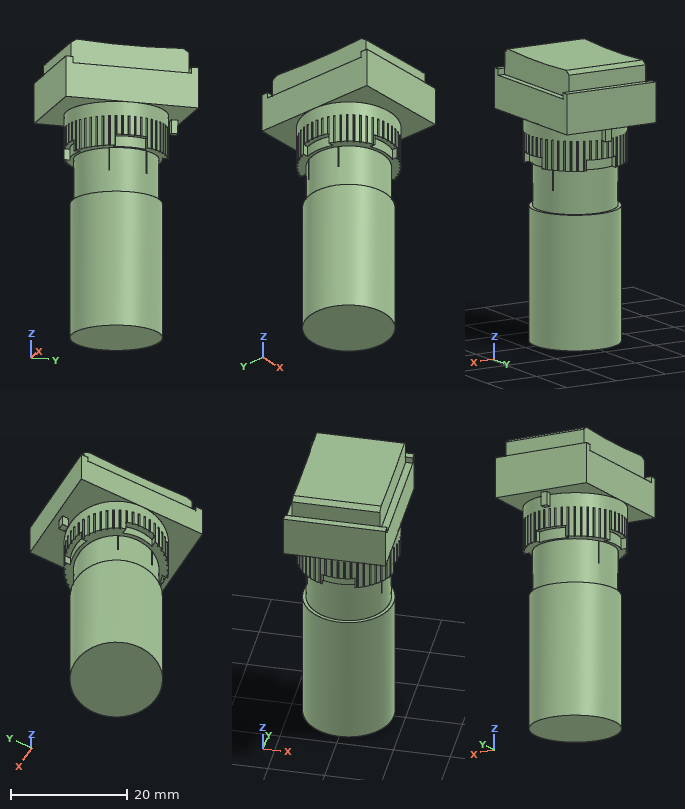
import cadquery as cq
import math

total_height = 50.6
housing_length_x = 18.0
housing_length_y = 24.0

barrel_diameter = 16.0
neck_diameter = 14.7
collar_diameter = housing_length_x
barrel_top = 24.0
collar_bottom = 32.0
housing_bottom = 39.75
housing_top = 47.0

cap_length_x = 15.5
cap_length_y = 21.4
cap_bevel_length = 1.0
cap_bevel_height = 0.65
cap_dish_depth = 0.3
ledge_height = 45.9

groove_count = 50
groove_width = 0.3
groove_angle = 60.0
groove_top = 37.25
window_width = 5.75
window_top = 33.9
window_count = 4

bar_length_x = 13.15
bar_length_y = 6.9
bar_bottom = 28.0

peg_size = 1.15
peg_center_y = 10.35
peg_bottom = 37.35


def cylinder(diameter, bottom, top):
    return cq.Workplane("XY", origin=(0, 0, bottom)).circle(diameter / 2).extrude(top - bottom)


def block(length_x, length_y, bottom, top, center=(0, 0)):
    plane = cq.Workplane("XY", origin=(*center, bottom))
    return plane.rect(length_x, length_y).extrude(top - bottom)


def make_housing():
    """Rectangular head, stepped down to a ledge along both X sides between its end walls."""
    housing = block(housing_length_x, housing_length_y, housing_bottom, housing_top)
    return housing.cut(block(housing_length_x, cap_length_y, ledge_height, housing_top))


def make_cap():
    """Button with bevelled Y ends and a finger dish curved along Y."""
    half_length = cap_length_y / 2
    rim = half_length - cap_bevel_length
    bevel_bottom = total_height - cap_bevel_height
    return (
        cq.Workplane("YZ", origin=(-cap_length_x / 2, 0, 0))
        .moveTo(-half_length, ledge_height)
        .lineTo(half_length, ledge_height)
        .lineTo(half_length, bevel_bottom)
        .lineTo(rim, total_height)
        .threePointArc((0, total_height - cap_dish_depth), (-rim, total_height))
        .lineTo(-half_length, bevel_bottom)
        .close()
        .extrude(cap_length_x)
    )


def make_grooves():
    """V-shaped serration grooves, evenly spaced with one centred on -Y."""
    radius = collar_diameter / 2
    depth = groove_width / 2 / math.tan(math.radians(groove_angle / 2))
    mouth_radius = radius + depth
    groove = (
        cq.Workplane("XY", origin=(0, 0, collar_bottom))
        .polyline([(0, depth - radius), (groove_width, -mouth_radius), (-groove_width, -mouth_radius)])
        .close()
        .extrude(groove_top - collar_bottom)
        .val()
    )
    step = 360 / groove_count
    return [groove.rotate((0, 0, 0), (0, 0, 1), i * step) for i in range(groove_count)]


def make_collar():
    """Serrated ring with windows through its lower edge, closed inside by a sleeve."""
    collar = cylinder(collar_diameter, collar_bottom, housing_bottom)
    collar = collar.cut(cq.Compound.makeCompound(make_grooves()))
    for i in range(window_count // 2):
        window = block(window_width, 2 * collar_diameter, collar_bottom, window_top)
        collar = collar.cut(window.rotate((0, 0, 0), (0, 0, 1), i * 360 / window_count))
    sleeve = cylinder(barrel_diameter, collar_bottom, housing_bottom)
    return collar.union(sleeve)


def make_neck():
    """Neck with the four corners of a rectangular bar standing slightly proud below the collar."""
    neck = cylinder(neck_diameter, barrel_top, collar_bottom)
    return neck.union(block(bar_length_x, bar_length_y, bar_bottom, collar_bottom))


def make_peg():
    return block(peg_size, peg_size, peg_bottom, housing_bottom, (0, peg_center_y))


result = (
    cylinder(barrel_diameter, 0, barrel_top)
    .union(make_neck())
    .union(make_collar())
    .union(make_housing())
    .union(make_cap())
    .union(make_peg())
)